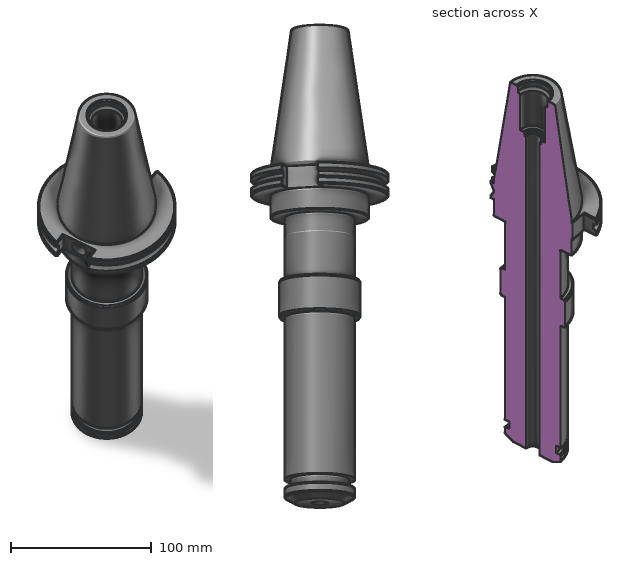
import cadquery as cq
import math

total_height = 342.8
gauge_line_z = 241.5
flange_top_z = 238.3
flange_bottom_z = 222.0
flange_mid_z = (flange_top_z + flange_bottom_z) / 2
spigot_bottom_z = 206.5
neck_step_z = 192.5
collar_top_z = 160.8
collar_bottom_z = 134.0
body_bottom_z = 17.0
nut_top_z = 11.0
nut_edge_z = 4.8
nut_bevel_top_z = 3.8

taper_large_diameter = 70.3
taper_ratio = 7 / 24
flange_diameter = 98.0
groove_diameter = 91.5
neck_diameter = 50.0
body_diameter = 50.5
collar_diameter = 58.3
throat_diameter = 42.0
nut_diameter = 50.5
nut_face_diameter = 35.5

undercut_depth = 0.5
undercut_height = 2.5

relief_depth = 0.17
relief_width = 1.0
relief_run_out = 0.7

spigot_chamfer = 0.7
neck_step_height = 0.7
taper_end_fillet = 2.0
flange_chamfer = 1.0
collar_bevel_height = 1.55
collar_bevel_width = 1.0
nut_top_chamfer = 1.0
nut_edge_break = 0.7

groove_floor_width = 3.0
groove_mouth_width = 7.2
groove_cut_margin = 3.5

slot_width = 26.0
slot_edge_chamfer = 0.7
front_slot_floor = 37.7
back_slot_floor = 35.5
dimple_diameter = 12.0
dimple_angle = 130

pick_margin = 0.5

mouth_diameter = 28.8
counterbore_diameter = 26.5
counterbore_depth = 5.5
thread_diameter = 22.0
thread_depth = 41.0
seat_mouth_diameter = 16.0
seat_diameter = 14.0
seat_depth = 3.5
coolant_diameter = 12.0


def revolve_profile(points):
    """Solid of revolution about Z from (radius, height) points."""
    return cq.Workplane("XZ").polyline(points).close().revolve(360, (0, 0, 0), (0, 1, 0))


def corner_relief(radius, shoulder_z):
    """Points of the relief in a cylinder just below a shoulder, from the top down."""
    return [
        (radius - relief_depth, shoulder_z),
        (radius - relief_depth, shoulder_z - relief_width),
        (radius, shoulder_z - relief_width - relief_run_out),
    ]


def holder_outside():
    taper_r = taper_large_diameter / 2
    taper_end_r = taper_r - (total_height - gauge_line_z) * taper_ratio / 2
    flange_r = flange_diameter / 2
    neck_r = neck_diameter / 2
    body_r = body_diameter / 2
    collar_r = collar_diameter / 2
    throat_r = throat_diameter / 2
    nut_r = nut_diameter / 2
    return revolve_profile([
        (0, total_height),
        (taper_end_r, total_height),
        (taper_r, gauge_line_z),
        (taper_r - undercut_depth, gauge_line_z - undercut_height),
        (taper_r - undercut_depth, flange_top_z),
        (flange_r - flange_chamfer, flange_top_z),
        (flange_r, flange_top_z - flange_chamfer),
        (flange_r, flange_bottom_z + flange_chamfer),
        (flange_r - flange_chamfer, flange_bottom_z),
        *corner_relief(taper_r, flange_bottom_z),
        (taper_r, spigot_bottom_z + spigot_chamfer),
        (taper_r - spigot_chamfer, spigot_bottom_z),
        *corner_relief(neck_r, spigot_bottom_z),
        (neck_r, neck_step_z),
        (body_r, neck_step_z - neck_step_height),
        (body_r, collar_top_z),
        (collar_r - collar_bevel_width, collar_top_z),
        (collar_r, collar_top_z - collar_bevel_height),
        (collar_r, collar_bottom_z + collar_bevel_height),
        (collar_r - collar_bevel_width, collar_bottom_z),
        *corner_relief(body_r, collar_bottom_z),
        (body_r, body_bottom_z),
        *corner_relief(throat_r, body_bottom_z),
        (throat_r, nut_top_z),
        (nut_r - nut_top_chamfer, nut_top_z),
        (nut_r, nut_top_z - nut_top_chamfer),
        (nut_r, nut_edge_z),
        (nut_r - nut_edge_break, nut_bevel_top_z),
        (nut_face_diameter / 2, 0),
        (0, 0),
    ])


def axial_bore():
    mouth_chamfer = (mouth_diameter - counterbore_diameter) / 2
    counterbore_z = total_height - counterbore_depth
    cone_height = (counterbore_diameter - thread_diameter) / 2
    thread_end_z = total_height - thread_depth
    seat_chamfer = (seat_mouth_diameter - seat_diameter) / 2
    seat_z = thread_end_z - seat_depth
    return revolve_profile([
        (0, total_height),
        (mouth_diameter / 2, total_height),
        (counterbore_diameter / 2, total_height - mouth_chamfer),
        (counterbore_diameter / 2, counterbore_z),
        (thread_diameter / 2, counterbore_z - cone_height),
        (thread_diameter / 2, thread_end_z),
        (seat_mouth_diameter / 2, thread_end_z),
        (seat_diameter / 2, thread_end_z - seat_chamfer),
        (seat_diameter / 2, seat_z),
        (coolant_diameter / 2, seat_z),
        (coolant_diameter / 2, 0),
        (0, 0),
    ])


def flange_groove():
    floor_r = groove_diameter / 2
    flank_slope = (groove_mouth_width - groove_floor_width) / (flange_diameter - groove_diameter)
    outer_r = flange_diameter / 2 + groove_cut_margin
    outer_half_width = groove_floor_width / 2 + (outer_r - floor_r) * flank_slope
    return revolve_profile([
        (floor_r, flange_mid_z + groove_floor_width / 2),
        (outer_r, flange_mid_z + outer_half_width),
        (outer_r, flange_mid_z - outer_half_width),
        (floor_r, flange_mid_z - groove_floor_width / 2),
    ])


def cut_drive_slot(body, floor, side):
    height = flange_top_z - flange_bottom_z
    depth = flange_diameter / 2 - floor
    slot = (
        cq.Workplane("XY", origin=(0, side * (floor + depth / 2), flange_mid_z))
        .box(slot_width, depth, height)
    )
    body = body.cut(slot)
    for wall_x in (-slot_width / 2, slot_width / 2):
        wall_edges = cq.selectors.BoxSelector(
            (wall_x - pick_margin, side * (floor + pick_margin), flange_bottom_z - pick_margin),
            (wall_x + pick_margin, side * flange_diameter / 2, flange_top_z + pick_margin),
        )
        body = body.edges(wall_edges).chamfer(slot_edge_chamfer)
    return body


def dimple():
    radius = dimple_diameter / 2
    depth = radius / math.tan(math.radians(dimple_angle / 2))
    return cq.Workplane(obj=cq.Solid.makeCone(
        radius, 0, depth, cq.Vector(0, -front_slot_floor, flange_mid_z), cq.Vector(0, 1, 0)))


result = holder_outside().faces(">Z").edges().fillet(taper_end_fillet)
result = cut_drive_slot(result, front_slot_floor, -1)
result = cut_drive_slot(result, back_slot_floor, 1)
result = result.cut(flange_groove()).cut(dimple()).cut(axial_bore())